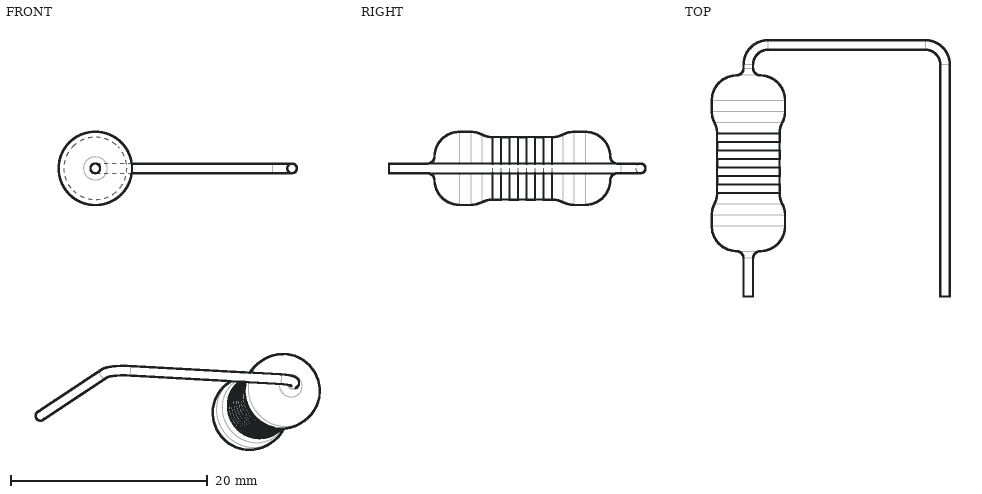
import cadquery as cq
import math

cap_diameter = 7.5
waist_diameter = 6.37
band_diameter = 6.4
lead_diameter = 1.0

body_length = 17.9
cap_fillet = 2.55
cap_land_length = 1.15
flare_length = 0.73

waist_length = 6.03
band_slots = 7

lead_bottom = -13.57
overall_length = 26.1
overall_width = 24.25
bend_radius = 2.0

cap_radius = cap_diameter / 2
waist_radius = waist_diameter / 2
lead_radius = lead_diameter / 2
half_body = body_length / 2
half_waist = waist_length / 2
lead_top = lead_bottom + overall_length - lead_radius
lead_spacing = overall_width - cap_radius - lead_radius
diagonal = math.sqrt(0.5)


def make_cap():
    """End cap on the +Y side, from its shoulder to the flare around the lead."""
    land_outer = half_body - cap_fillet
    land_inner = land_outer - cap_land_length
    end_face_radius = cap_radius - cap_fillet
    flare_end = half_body + flare_length

    shoulder_middle = ((cap_radius + waist_radius) / 2, (land_inner + half_waist) / 2)
    shoulder_rise = cap_radius - waist_radius
    shoulder_length = land_inner - half_waist
    shoulder_radius = (shoulder_length**2 + shoulder_rise**2) / (4 * shoulder_rise)
    flare_width = end_face_radius - lead_radius

    cap_arc_middle = (
        end_face_radius + cap_fillet * diagonal,
        land_outer + cap_fillet * diagonal,
    )
    flare_arc_middle = (
        end_face_radius - flare_width * diagonal,
        flare_end - flare_length * diagonal,
    )
    profile = (
        cq.Workplane("XY")
        .moveTo(0, half_waist)
        .lineTo(waist_radius, half_waist)
        .radiusArc(shoulder_middle, shoulder_radius)
        .radiusArc((cap_radius, land_inner), -shoulder_radius)
        .lineTo(cap_radius, land_outer)
        .threePointArc(cap_arc_middle, (end_face_radius, half_body))
        .threePointArc(flare_arc_middle, (lead_radius, flare_end))
        .lineTo(0, flare_end)
        .close()
    )
    return profile.revolve(360, (0, 0, 0), (0, 1, 0))


def make_cylinder(diameter, start_y, length):
    """Cylinder along +Y on the body axis, starting at start_y."""
    return (
        cq.Workplane("XZ", origin=(0, start_y, 0))
        .circle(diameter / 2)
        .extrude(-length)
    )


def make_lead():
    """Wire through the body, bent over the top and back down beside it."""
    bend_y = lead_top - bend_radius
    arc_offset = bend_radius * diagonal
    path = (
        cq.Workplane("XY")
        .moveTo(0, lead_bottom)
        .lineTo(0, bend_y)
        .threePointArc((bend_radius - arc_offset, bend_y + arc_offset), (bend_radius, lead_top))
        .lineTo(lead_spacing - bend_radius, lead_top)
        .threePointArc(
            (lead_spacing - bend_radius + arc_offset, bend_y + arc_offset),
            (lead_spacing, bend_y),
        )
        .lineTo(lead_spacing, lead_bottom)
    )
    return (
        cq.Workplane("XZ", origin=(0, lead_bottom, 0))
        .circle(lead_radius)
        .sweep(path)
    )


cap = make_cap()
waist = make_cylinder(waist_diameter, -half_waist, waist_length)
result = waist.union(cap).union(cap.mirror("XZ"))

slot_width = waist_length / band_slots
for slot in range(0, band_slots, 2):
    result = result.union(make_cylinder(band_diameter, -half_waist + slot * slot_width, slot_width))

result = result.union(make_lead())